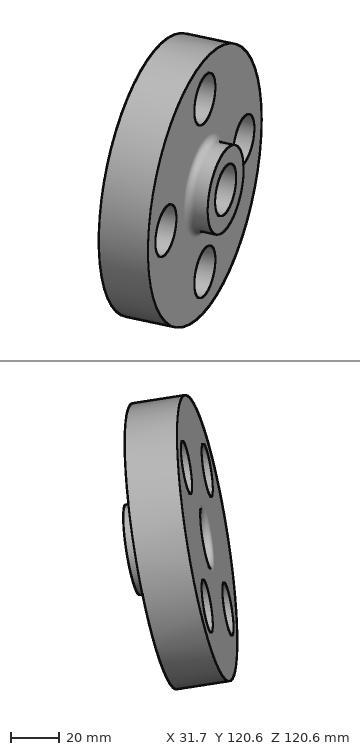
import cadquery as cq

flange_diameter = 120.6
flange_thickness = 22.3

overall_length = 31.7
hub_diameter = 38.1
hub_fillet = 3.1

bore_diameter = 22.3
bore_rounding = 3.1

bolt_count = 4
bolt_hole_diameter = 22.3
bolt_circle_diameter = 82.6


def cylinder(diameter, length):
    """Solid cylinder on the X axis, starting at the front face."""
    return cq.Workplane("YZ").circle(diameter / 2).extrude(length)


def smallest_circle(edges):
    """Keep the edges of the smallest radius."""
    return edges.edges(cq.selectors.RadiusNthSelector(0))


def flange_with_hub():
    """Disc and hub joined by a concave fillet around the hub root."""
    disc = cylinder(flange_diameter, flange_thickness)
    hub = cylinder(hub_diameter, overall_length)
    return smallest_circle(disc.union(hub).edges("%CIRCLE")).edges("<X").fillet(hub_fillet)


def add_bore(body):
    """Through bore with its mouth on the front face rounded over."""
    bored = body.cut(cylinder(bore_diameter, overall_length))
    return smallest_circle(bored.faces("<X").edges()).fillet(bore_rounding)


def bolt_hole_cutters():
    """Equally spaced holes, the first one on the Y axis."""
    return (
        cq.Workplane("YZ")
        .polarArray(bolt_circle_diameter / 2, 0, 360, bolt_count)
        .circle(bolt_hole_diameter / 2)
        .extrude(flange_thickness)
    )


result = add_bore(flange_with_hub()).cut(bolt_hole_cutters())